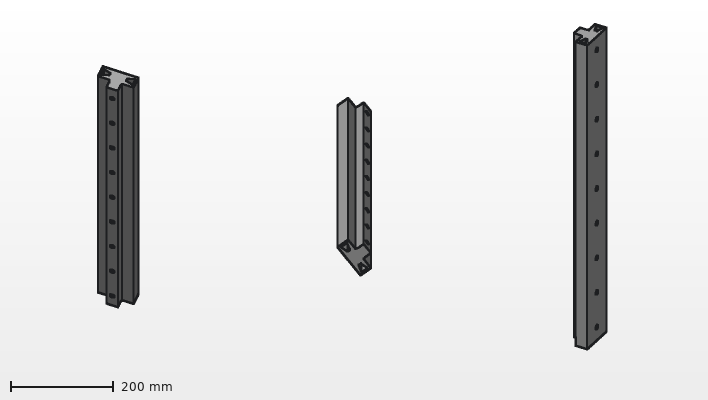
import cadquery as cq

length = 700.0
flange_width = 75.0
depth = 45.0
flange_thickness = 26.0
stem_width = 24.0

flare_width = 1.5
flare_length = 5.5

channel_wall = 4.0
channel_depth = 15.5
channel_outer_height = 15.0
channel_tip_height = 5.5

hole_diameter = 9.0
hole_count = 9
hole_pitch = 80.0

back_y = depth / 2
flange_front_y = back_y - flange_thickness
flange_center_y = back_y - flange_thickness / 2


def make_rail():
    half_stem = stem_width / 2
    half_root = half_stem + flare_width
    half_flange = flange_width / 2
    flare_end_y = flange_front_y - flare_length
    right_side = [
        (half_stem, -depth / 2),
        (half_stem, flare_end_y),
        (half_root, flange_front_y),
        (half_flange, flange_front_y),
        (half_flange, back_y),
    ]
    left_side = [(-x, y) for x, y in reversed(right_side)]
    return (
        cq.Workplane("XY")
        .workplane(offset=-length / 2)
        .polyline(right_side + left_side)
        .close()
        .extrude(length)
    )


def make_channel(side):
    """Full-length channel, widest at the flange end and narrowing inwards; side is -1 or 1."""
    outer_x = side * (flange_width / 2 - channel_wall)
    tip_x = outer_x - side * channel_depth
    outer_half = channel_outer_height / 2
    tip_half = channel_tip_height / 2
    return (
        cq.Workplane("XY")
        .workplane(offset=-length / 2)
        .polyline([
            (outer_x, flange_center_y - outer_half),
            (outer_x, flange_center_y + outer_half),
            (tip_x, flange_center_y + tip_half),
            (tip_x, flange_center_y - tip_half),
        ])
        .close()
        .extrude(length)
    )


def make_holes():
    first_z = -hole_pitch * (hole_count - 1) / 2
    centers = [(0, first_z + i * hole_pitch) for i in range(hole_count)]
    return (
        cq.Workplane("XZ")
        .pushPoints(centers)
        .circle(hole_diameter / 2)
        .extrude(depth / 2, both=True)
    )


result = make_rail()
for side in (-1, 1):
    result = result.cut(make_channel(side))
result = result.cut(make_holes())